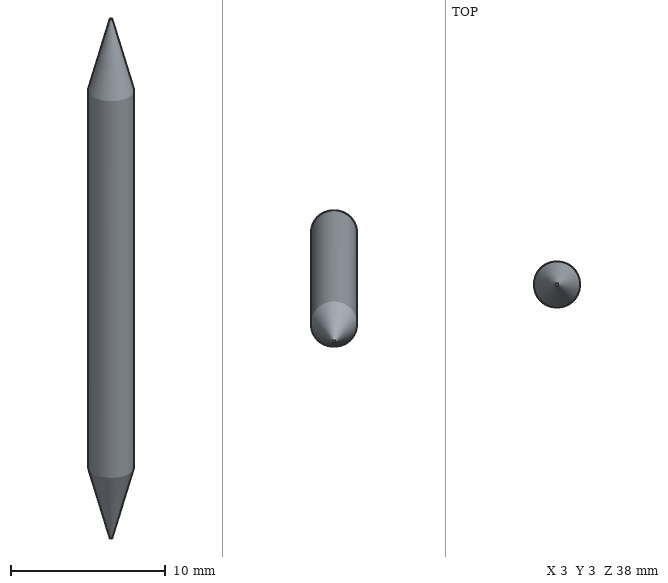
import cadquery as cq

total_length = 38.0
shank_diameter = 3.0
cone_length = 5.2
tip_diameter = 0.2

shank_radius = shank_diameter / 2
tip_radius = tip_diameter / 2
half_length = total_length / 2
shoulder_height = half_length - cone_length

result = (
    cq.Workplane("XZ")
    .moveTo(0, -half_length)
    .lineTo(tip_radius, -half_length)
    .lineTo(shank_radius, -shoulder_height)
    .lineTo(shank_radius, shoulder_height)
    .lineTo(tip_radius, half_length)
    .lineTo(0, half_length)
    .close()
    .revolve(360, (0, 0, 0), (0, 1, 0))
)